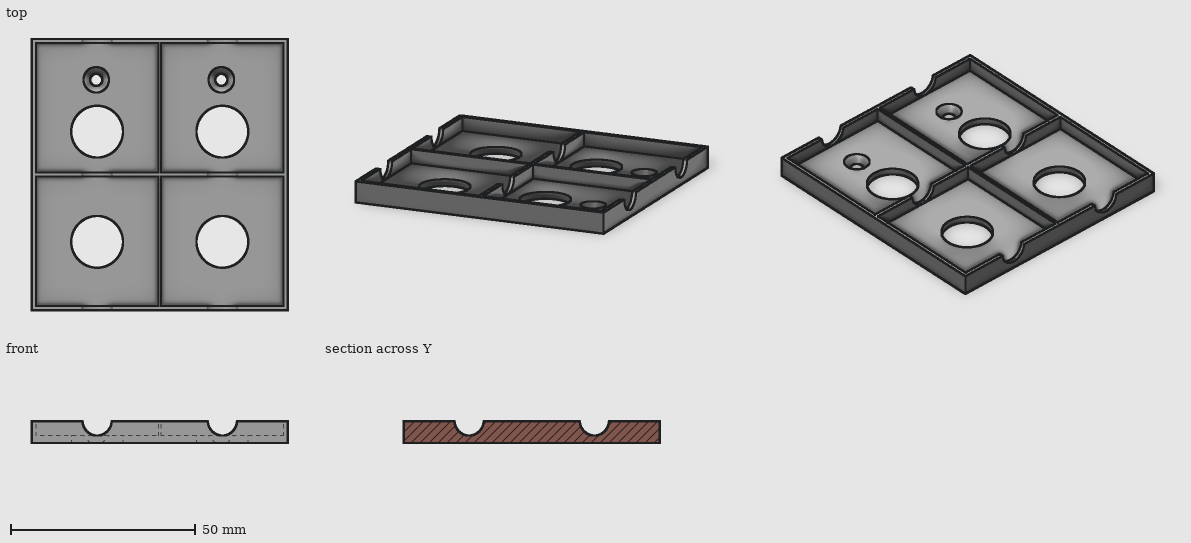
import cadquery as cq

width = 69.6
length = 73.7
height = 6.0
floor_thickness = 2.0

outer_wall = 1.2
cross_wall = 1.2
centre_wall = 0.8
pocket_width = (width - 2 * outer_wall - centre_wall) / 2
pocket_length = (length - 2 * outer_wall - cross_wall) / 2
pocket_x = (centre_wall + pocket_width) / 2
pocket_y = (cross_wall + pocket_length) / 2

opening_diameter = 14.0
back_opening_y = 11.65
front_opening_y = -18.3

screw_xs = (-17.25, 16.7)
screw_y = 25.7
screw_diameter = 3.25
screw_head_diameter = 6.9

notch_half_width = 3.9
notch_floor_clearance = 0.1
notch_bottom_z = floor_thickness + notch_floor_clearance
notch_edge_radius = 0.3


def make_tray():
    """Block with four open pockets."""
    block = cq.Workplane("XY").box(width, length, height, centered=(True, True, False))
    pockets = (
        cq.Workplane("XY", origin=(0, 0, floor_thickness))
        .rarray(2 * pocket_x, 2 * pocket_y, 2, 2)
        .rect(pocket_width, pocket_length)
        .extrude(height)
    )
    return block.cut(pockets)


def make_notch(x):
    """Channel along Y with a round bottom and rounded mouth edges."""
    side_z = height - notch_edge_radius
    mouth = notch_half_width + notch_edge_radius
    arc_bend = notch_edge_radius * (1 - 0.5 ** 0.5)
    return (
        cq.Workplane("XZ", origin=(x, length / 2, 0))
        .moveTo(-mouth, height)
        .threePointArc((-notch_half_width - arc_bend, height - arc_bend), (-notch_half_width, side_z))
        .threePointArc((0, notch_bottom_z), (notch_half_width, side_z))
        .threePointArc((notch_half_width + arc_bend, height - arc_bend), (mouth, height))
        .close()
        .extrude(length)
    )


def make_screw_hole(x):
    """Cone through the floor, widening upward."""
    return (
        cq.Workplane("XY", origin=(x, screw_y, 0))
        .circle(screw_diameter / 2)
        .workplane(offset=floor_thickness)
        .circle(screw_head_diameter / 2)
        .loft()
    )


result = make_tray()

for x in (-pocket_x, pocket_x):
    result = result.cut(make_notch(x))
    for y in (back_opening_y, front_opening_y):
        opening = cq.Workplane("XY").center(x, y).circle(opening_diameter / 2).extrude(height)
        result = result.cut(opening)

for x in screw_xs:
    result = result.cut(make_screw_hole(x))